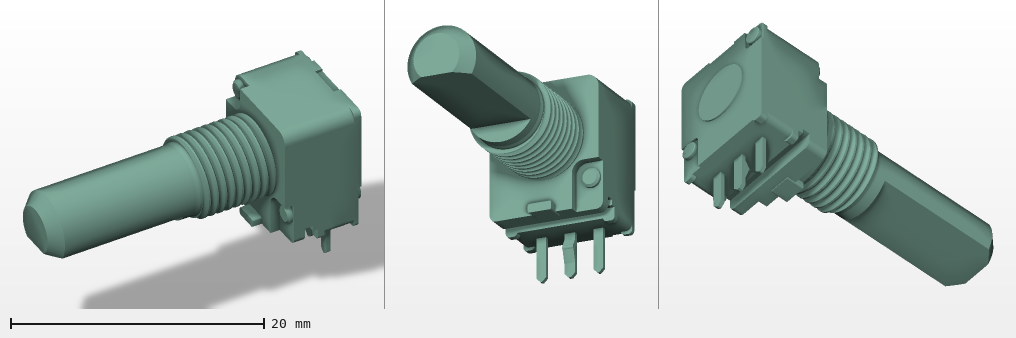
import cadquery as cq

overall_length = 27.05

body_width = 9.5
body_top = 4.85
body_bottom = -6.28
body_depth = 6.92
half_width = body_width / 2
body_height = body_top - body_bottom
top_radius = 1.0
bottom_radius = 0.57
cover_thickness = 0.65
cover_front = body_depth - cover_thickness
cover_radius = 0.51

slot_front = 1.8
slot_step = 2.55
slot_back = 3.0
slot_high_z = -4.98
slot_low_z = -5.46

foot_width = 1.0
foot_bottom = -6.55
foot_height = 0.8
foot_radius = 0.32
front_foot_length = 0.6

notch_width = 3.0
notch_drop = 0.22

rivet_x = 3.8
rivet_z = 3.65
rivet_radius = 0.8
rivet_height = 0.43
rivet_chamfer = 0.2
front_pocket_edge = (2.43, 2.27)
front_pocket_depth = 0.85
front_pocket_radius = 1.0
rear_pocket_edge = (2.79, 2.7)
rear_pocket_depth = 0.25
rear_pocket_radius = 0.55
rear_rivet_radius = 0.75
rear_rivet_chamfer = 0.05
back_plane = 7.05

disc_radius = 2.57

tab_width = 2.05
tab_top = -5.63
tab_bottom = -6.35
tab_front = -0.85
tab_back = 0.85
tab_radius = 0.15

pin_spacing = 2.5
pin_width = 0.87
middle_pin_width = 0.95
pin_front = 4.8
pin_thickness = 0.38
pin_bottom = -10.0
pin_embed = 0.55
pin_top = body_bottom + pin_embed
pin_chamfer = 0.35
bump_height = 0.4
bump_crown = 0.08
bump_top = -6.82
bump_crest_top = -7.38
bump_crest_bottom = -7.74
bump_bottom = -8.8

bushing_length = 7.05
bushing_radius = 3.08
bushing_taper = 0.32
thread_radius = 3.5
thread_length = 6.52
thread_turns = 9
thread_turns_length = 6.74
thread_pitch = thread_turns_length / thread_turns
thread_crest = 0.15
thread_root = 0.73
thread_overlap = 0.08
thread_phase = -0.3

shaft_radius = 3.0
shaft_length = overall_length - back_plane
shaft_chamfer = 1.0
flat_z = -1.5
flat_start = 8.0


def block(x0, x1, y0, y1, z0, z1):
    """Box between two opposite corners."""
    return cq.Workplane("XY").box(x1 - x0, y1 - y0, z1 - z0, centered=False).translate((x0, y0, z0))


def rod(radius, y0, y1, x=0, z=0):
    """Cylinder along Y."""
    return cq.Workplane("XZ", origin=(x, y0, z)).circle(radius).extrude(y0 - y1)


def make_housing():
    main = block(-half_width, half_width, 0, cover_front, body_bottom, body_top)
    main = main.edges("|Y and >Z").fillet(top_radius)
    main = main.edges("|Y and <Z").fillet(bottom_radius)
    cover = block(-half_width, half_width, cover_front, body_depth, body_bottom, body_top)
    cover = cover.edges("|Y").fillet(cover_radius)
    notch = block(-notch_width / 2, notch_width / 2, cover_front, body_depth, body_top - notch_drop, body_top)
    high_slot = block(-half_width, half_width, slot_front, slot_step, body_bottom, slot_high_z)
    low_slot = block(-half_width, half_width, slot_step, slot_back, body_bottom, slot_low_z)
    return main.union(cover).cut(notch).cut(high_slot).cut(low_slot)


def make_feet():
    feet = cq.Workplane("XY")
    for y0, y1 in ((slot_back, slot_back + front_foot_length), (cover_front, body_depth)):
        for x0 in (-half_width, half_width - foot_width):
            foot = block(x0, x0 + foot_width, y0, y1, foot_bottom, foot_bottom + foot_height)
            feet = feet.add(foot.edges("|Y and <Z").fillet(foot_radius))
    return feet.combine()


def corner_pocket(side, edge, radius, y0, y1):
    """Cutter for the upper left (side = -1) or lower right (side = 1) corner of the housing."""
    cutter = block(edge[0], half_width + radius, y0, y1, edge[1], body_height)
    cutter = cutter.edges("|Y and <X and <Z").fillet(radius)
    if side > 0:
        return cutter.mirror("XY")
    return cutter.mirror("YZ")


def add_rivets(body):
    rear_floor = body_depth - rear_pocket_depth
    for side in (-1, 1):
        x = side * rivet_x
        z = -side * rivet_z
        body = body.cut(corner_pocket(side, front_pocket_edge, front_pocket_radius, 0, front_pocket_depth))
        body = body.cut(corner_pocket(side, rear_pocket_edge, rear_pocket_radius, rear_floor, body_depth))
        front_head = rod(rivet_radius, front_pocket_depth - rivet_height, front_pocket_depth, x, z)
        rear_head = rod(rear_rivet_radius, rear_floor, back_plane, x, z)
        body = body.union(front_head.faces("<Y").chamfer(rivet_chamfer))
        body = body.union(rear_head.faces(">Y").chamfer(rear_rivet_chamfer))
    return body


def make_tab():
    tab = block(-tab_width / 2, tab_width / 2, tab_front, tab_back, tab_bottom, tab_top)
    return tab.edges("|Y").fillet(tab_radius)


def make_pin(x, width):
    pin = block(x - width / 2, x + width / 2, pin_front, pin_front + pin_thickness, pin_bottom, pin_top)
    return pin.edges("|Y and <Z").chamfer(pin_chamfer)


def make_pin_bump():
    """Snap-in bulge on the front of the middle pin."""
    crest_y = pin_front - bump_height
    shoulder_y = crest_y + bump_crown
    crest_z = (bump_crest_top + bump_crest_bottom) / 2
    outline = cq.Workplane("YZ").moveTo(pin_front, bump_top)
    outline = outline.lineTo(shoulder_y, bump_crest_top)
    outline = outline.threePointArc((crest_y, crest_z), (shoulder_y, bump_crest_bottom))
    outline = outline.lineTo(pin_front, bump_bottom).close()
    return outline.extrude(middle_pin_width / 2, both=True)


def make_thread():
    """Right-handed ridge, wound along +Z and then laid along the Y axis."""
    base_radius = bushing_radius - thread_overlap
    winding_length = thread_turns_length + thread_pitch
    ridge = [
        (base_radius, -thread_root / 2),
        (thread_radius, -thread_crest / 2),
        (thread_radius, thread_crest / 2),
        (base_radius, thread_root / 2),
    ]
    path = cq.Wire.makeHelix(thread_pitch, winding_length, base_radius)
    thread = cq.Workplane("XZ").polyline(ridge).close().sweep(cq.Workplane(path), isFrenet=True)
    thread = thread.rotate((0, 0, 0), (0, 0, 1), -90).rotate((0, 0, 0), (1, 0, 0), -90)
    start_y = thread_phase - thread_turns_length
    thread = thread.translate((0, start_y, 0))
    return thread.intersect(rod(2 * thread_radius, -thread_length, front_pocket_depth / 2))


def make_bushing():
    """Threaded sleeve whose end tapers down to the shaft."""
    taper_start = bushing_taper - bushing_length
    half_section = [
        (0, front_pocket_depth),
        (bushing_radius, front_pocket_depth),
        (bushing_radius, taper_start),
        (shaft_radius, -bushing_length),
        (0, -bushing_length),
    ]
    sleeve = cq.Workplane("XY").polyline(half_section).close().revolve(360, (0, 0, 0), (0, 1, 0))
    return sleeve.union(make_thread())


def make_shaft():
    shaft = rod(shaft_radius, -shaft_length, 0).faces("<Y").chamfer(shaft_chamfer)
    below_flat = block(-shaft_radius, shaft_radius, -shaft_length, -flat_start, -shaft_radius, flat_z)
    return shaft.cut(below_flat)


result = add_rivets(make_housing().union(make_feet()))
result = result.union(rod(disc_radius, body_depth, back_plane))
result = result.union(make_tab())
result = result.union(make_pin(-pin_spacing, pin_width))
result = result.union(make_pin(pin_spacing, pin_width))
result = result.union(make_pin(0, middle_pin_width).union(make_pin_bump()))
result = result.union(make_bushing())
result = result.union(make_shaft())